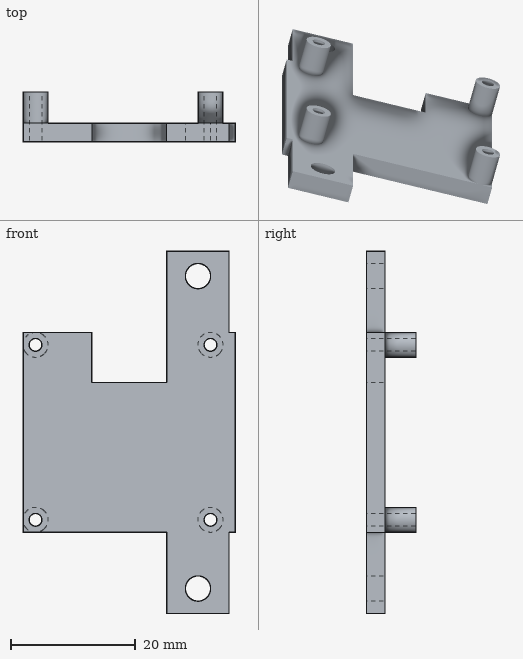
import cadquery as cq

plate_width = 34.0
plate_height = 32.0
thickness = 3.0

notch_left = 11.0
notch_depth = 8.0

strip_left = 23.0
strip_width = 10.0
strip_overhang = 13.0
mount_hole_diameter = 4.0
mount_hole_end_distance = 4.0

standoff_diameter = 4.0
standoff_length = 5.0
standoff_bore = 2.0
standoff_inset = 2.0
standoff_spacing = 28.0

strip_height = plate_height + 2 * strip_overhang
plate_bottom = strip_overhang
plate_top = plate_bottom + plate_height
standoff_centers = [
    (standoff_inset + column * standoff_spacing, plate_bottom + standoff_inset + row * standoff_spacing)
    for column in range(2)
    for row in range(2)
]
mount_hole_x = strip_left + strip_width / 2
mount_hole_centers = [
    (mount_hole_x, mount_hole_end_distance),
    (mount_hole_x, strip_height - mount_hole_end_distance),
]


def block(left, bottom, width, height):
    """Block of plate thickness, from the front face at Y = 0 to the back face."""
    return cq.Workplane("XY").box(width, thickness, height, centered=False).translate((left, 0, bottom))


def cylinders(centers, diameter, start_y, length):
    """Cylinders along +Y at the given (X, Z) centers."""
    plane = cq.Workplane("XZ").workplane(offset=-start_y)
    return plane.pushPoints(centers).circle(diameter / 2).extrude(-length)


def make_body():
    plate = block(0, plate_bottom, plate_width, plate_height)
    notch = block(notch_left, plate_top - notch_depth, strip_left - notch_left, notch_depth)
    strip = block(strip_left, 0, strip_width, strip_height)
    return plate.cut(notch).union(strip)


standoffs = cylinders(standoff_centers, standoff_diameter, thickness, standoff_length)
standoff_bores = cylinders(standoff_centers, standoff_bore, 0, thickness + standoff_length)
mount_holes = cylinders(mount_hole_centers, mount_hole_diameter, 0, thickness)

result = make_body().union(standoffs).cut(standoff_bores).cut(mount_holes)